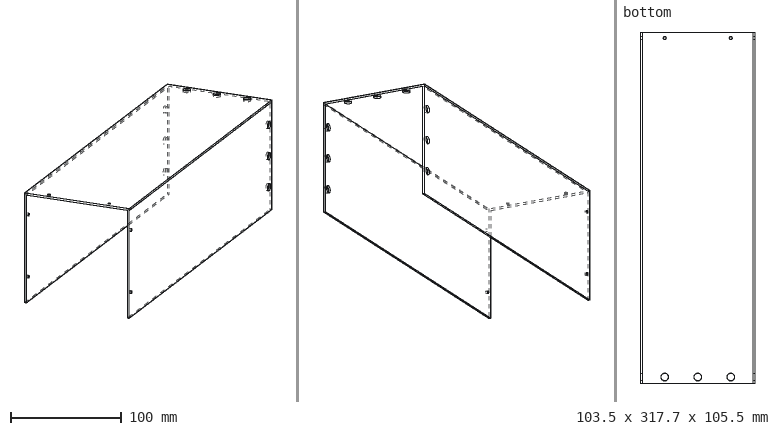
import cadquery as cq

width = 103.5
length = 317.7
height = 105.5
sheet = 2.0
panel_overhang = 0.03

large_hole = 6.7
small_hole = 2.4
hole_pitch = 30.0
large_hole_inset = 6.0
small_hole_inset = 5.0
side_row_height = 53.5

back_row_y = length / 2 - large_hole_inset
front_row_y = -length / 2 + small_hole_inset
large_offsets = (-hole_pitch, 0, hole_pitch)
small_offsets = (-hole_pitch, hole_pitch)


def make_cover():
    """Top panel with two side walls, centred on X and Y and standing on Z = 0."""
    panel = cq.Workplane("XY").box(width, length, sheet, centered=(True, True, False))
    walls = cq.Workplane("XY").box(
        width - 2 * panel_overhang, length, height - sheet, centered=(True, True, False)
    )
    inside = cq.Workplane("XY").box(
        width - 2 * sheet, length, height - sheet, centered=(True, True, False)
    )
    return panel.translate((0, 0, height - sheet)).union(walls.cut(inside))


def top_drills(diameter, y, offsets):
    """Vertical drills through the top panel."""
    points = [(offset, y) for offset in offsets]
    plane = cq.Workplane("XY").workplane(offset=height - 2 * sheet)
    return plane.pushPoints(points).circle(diameter / 2).extrude(3 * sheet)


def side_drills(diameter, y, offsets):
    """Horizontal drills through both side walls."""
    points = [(y, side_row_height + offset) for offset in offsets]
    return cq.Workplane("YZ").pushPoints(points).circle(diameter / 2).extrude(width, both=True)


result = make_cover()
for make_drills in (top_drills, side_drills):
    result = result.cut(make_drills(large_hole, back_row_y, large_offsets))
    result = result.cut(make_drills(small_hole, front_row_y, small_offsets))